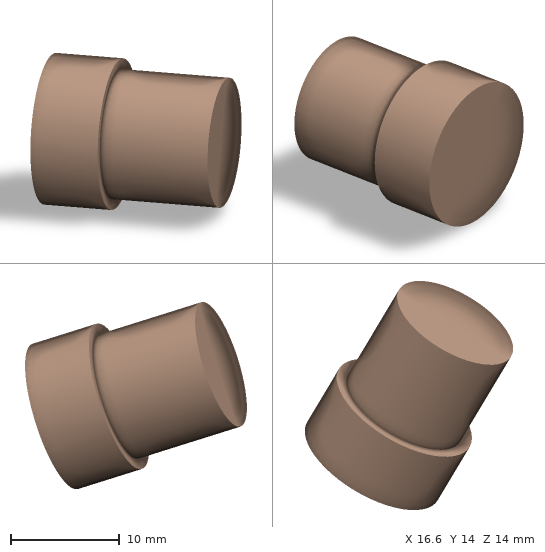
import cadquery as cq

overall_length = 16.6
head_length = 6.4
head_diameter = 14.0
shank_diameter = 12.0

shank_length = overall_length - head_length


def cylinder_along_x(start_x, length, diameter):
    """Solid cylinder centred on the X axis, running toward +X from start_x."""
    return cq.Workplane("YZ", origin=(start_x, 0, 0)).circle(diameter / 2).extrude(length)


head = cylinder_along_x(0, head_length, head_diameter)

shank = cylinder_along_x(head_length, shank_length, shank_diameter)

result = head.union(shank)